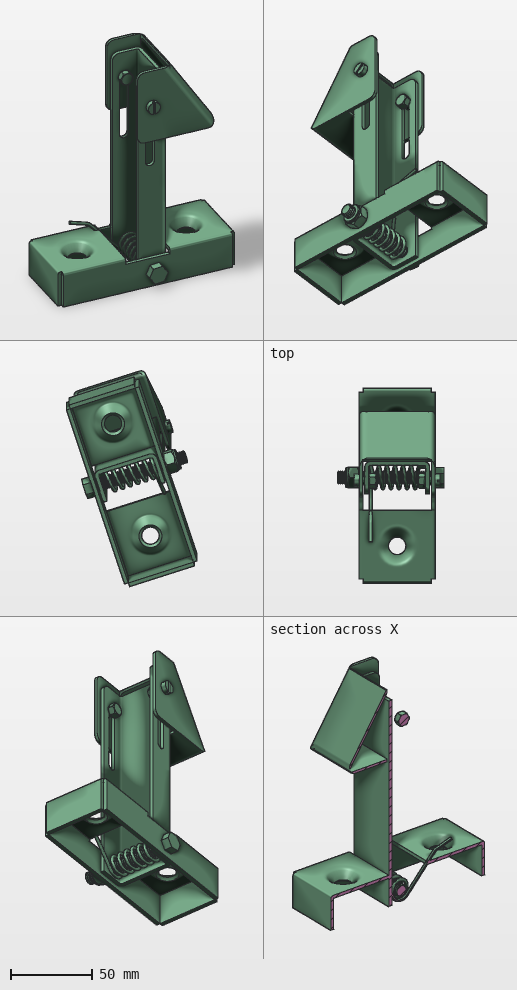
import cadquery as cq
import math

sheet = 2.5

base_width = 47.0
base_length = 120.0
base_height = 24.0
base_bend_radius = 2.0
window_half_length = 15.0
notch_floor = 20.0
mount_offset = 37.0
mount_hole_radius = 5.3
mount_cone_radius = 9.7
mount_rim_radius = 13.5

post_width = 40.0
post_depth = 20.0
post_back = window_half_length
post_bottom = 2.0
post_top = 145.0
post_inner_bend = 1.2
slot_width = 6.0
slot_bottom = 84.0

hood_sheet = 2.0
hood_width = 46.5
hood_bottom = 103.0
hood_height = 50.0
hood_front = -7.0
hood_top_back = 17.0
hood_bottom_back = 50.0
hood_bend_radius = 5.5
hood_fold_radius = 1.5
hood_lip_y = 16.0
plate_corner_radius = 5.0

screw_y = 3.0
screw_diameter = 5.0
screw_head_diameter = 8.2
screw_head_height = 3.2
driver_slot_width = 1.2
driver_slot_depth = 1.5
screw_nut_flats = 8.0
screw_nut_height = 4.7
nut_end_relief = 0.2

pivot_y = 5.0
pivot_z = 10.0
bolt_diameter = 8.0
thread_root_diameter = 6.5
thread_pitch = 1.25
bolt_end_projection = 13.2
bolt_head_flats = 11.0
bolt_head_height = 5.3
bolt_head_turn = 6.0
lock_nut_flats = 13.0
lock_nut_height = 6.8
lock_collar_diameter = 12.5
lock_collar_height = 1.5

wire_diameter = 2.0
coil_radius = 6.55
coil_left = -16.3
coil_right = 13.5
coil_pitch = 4.95
front_leg_angle = 47.5
front_leg_length = 31.0
front_tip_angle = 17.0
front_tip_length = 12.0
front_bend_radius = 5.0
rear_leg_top = 40.0
rear_leg_top_x = 16.8

base_half = base_width / 2
hood_top = hood_bottom + hood_height
screw_z = hood_bottom + hood_height / 2


def side_plane(x, y=0.0, z=0.0):
    """Plane facing +X whose local axes are Y and Z."""
    return cq.Workplane("YZ", origin=(x, y, z))


def extrude_across(points, width):
    """Prism of a Y-Z outline, centred on X = 0."""
    return side_plane(0).polyline(points).close().extrude(width / 2, both=True)


def block(x0, x1, y0, y1, z0, z1):
    return cq.Workplane("XY").box(x1 - x0, y1 - y0, z1 - z0, centered=False).translate((x0, y0, z0))


def hexagon(flats, height, turn=0.0):
    """Hexagonal prism along +X; with no turn its corners point along Y."""
    corner_diameter = flats / math.cos(math.radians(30))
    return side_plane(0).polygon(6, corner_diameter).extrude(height).rotate((0, 0, 0), (1, 0, 0), turn)


def chamfered_hexagon(flats, height, turn=0.0):
    """Hexagonal nut blank whose corners are turned down at both ends."""
    corner_radius = flats / 2 / math.cos(math.radians(30))
    chamfer = corner_radius - flats / 2 + nut_end_relief
    envelope = side_plane(0).circle(corner_radius).extrude(height).faces("<X or >X").chamfer(chamfer)
    return hexagon(flats, height, turn).intersect(envelope)


def make_mount_cup():
    """Dished 90-degree countersink pressed from the sheet, axis at X = Y = 0."""
    bend = (mount_rim_radius - mount_cone_radius) / math.sin(math.radians(45))
    diagonal = math.sin(math.radians(45))
    steep = math.sin(math.radians(22.5))
    shallow = math.cos(math.radians(22.5))
    centre_z = base_height - bend

    def on_bend(radius, sine, cosine):
        return (mount_rim_radius - radius * sine, centre_z + radius * cosine)

    inner = bend - sheet
    cone_start = on_bend(bend, diagonal, diagonal)
    cone_drop = mount_cone_radius - mount_hole_radius
    cone_end = (mount_hole_radius, cone_start[1] - cone_drop)
    under_end = (cone_end[0] + sheet * diagonal, cone_end[1] - sheet * diagonal)
    profile = (
        cq.Workplane("XZ")
        .moveTo(mount_rim_radius, base_height)
        .threePointArc(on_bend(bend, steep, shallow), cone_start)
        .lineTo(*cone_end)
        .lineTo(*under_end)
        .lineTo(*on_bend(inner, diagonal, diagonal))
        .threePointArc(on_bend(inner, steep, shallow), on_bend(inner, 0, 1))
        .close()
    )
    return profile.revolve(360, (0, 0), (0, 1))


def make_base():
    base = cq.Workplane("XY").box(base_width, base_length, base_height, centered=(True, True, False))
    base = base.faces(">Z").edges().fillet(base_bend_radius)
    inner_half = base_half - sheet
    end_inner = base_length / 2 - sheet
    base = base.cut(block(-inner_half, inner_half, -end_inner, end_inner, 0, base_height - sheet))
    for side_x in (-1, 1):
        for side_y in (-1, 1):
            corner = cq.Workplane("XY").rect(2 * sheet, 2 * sheet).extrude(base_height)
            base = base.cut(corner.translate((side_x * base_half, side_y * base_length / 2, 0)))
    window = block(-base_half, base_half, -window_half_length, window_half_length, notch_floor, base_height)
    base = base.cut(window)
    cup = make_mount_cup()
    opening = cq.Workplane("XY").circle(mount_rim_radius).extrude(base_height)
    for y in (-mount_offset, mount_offset):
        base = base.cut(opening.translate((0, y, 0))).union(cup.translate((0, y, 0)))
    return base


def make_post():
    half = post_width / 2
    front = post_back - post_depth
    post = block(-half, half, front, post_back, post_bottom, post_top)
    post = post.edges("|Z and >Y").fillet(post_inner_bend + sheet)
    channel = block(sheet - half, half - sheet, front, post_back - sheet, post_bottom, post_top)
    post = post.cut(channel.edges("|Z and >Y").fillet(post_inner_bend))
    post = post.edges("|X and <Y and >Z").fillet(plate_corner_radius)
    slot_top = screw_z + slot_width / 2
    slot_length = slot_top - slot_bottom
    slot = (
        side_plane(0, screw_y, slot_bottom + slot_length / 2)
        .slot2D(slot_length, slot_width, 90)
        .extrude(half, both=True)
    )
    return post.cut(slot)


def make_hood():
    slope = math.atan2(hood_bottom_back - hood_top_back, hood_height)
    out_y, out_z = math.cos(slope), math.sin(slope)
    down_y, down_z = math.sin(slope), -math.cos(slope)
    outline = [
        (hood_front, hood_bottom),
        (hood_front, hood_top),
        (hood_top_back, hood_top),
        (hood_bottom_back, hood_bottom),
    ]
    plates = extrude_across(outline, hood_width)
    side_shape = plates.edges("|X").edges("<Y or <Z").fillet(plate_corner_radius)
    bend_edges = cq.selectors.ParallelDirSelector(cq.Vector(0, down_y, down_z))
    hood = plates.edges(bend_edges).fillet(hood_bend_radius).intersect(side_shape)

    overrun = hood_height
    inner_width = hood_width - 2 * hood_sheet
    inner_top = (
        hood_top_back - hood_sheet * out_y - overrun * down_y,
        hood_top - hood_sheet * out_z - overrun * down_z,
    )
    inner_bottom = (
        hood_bottom_back - hood_sheet * out_y + overrun * down_y,
        hood_bottom - hood_sheet * out_z + overrun * down_z,
    )
    open_front = hood_front - overrun
    cavity_outline = [inner_top, inner_bottom, (open_front, inner_bottom[1]), (open_front, inner_top[1])]
    cavity = extrude_across(cavity_outline, inner_width)
    cavity = cavity.edges(bend_edges).fillet(hood_bend_radius - hood_sheet)

    flange_top = hood_bottom + hood_sheet
    fold_y = hood_bottom_back - hood_sheet / out_y - hood_sheet * math.tan(slope)
    above_flange_outline = [
        inner_top,
        (fold_y, flange_top),
        (open_front, flange_top),
        (open_front, inner_top[1]),
    ]
    above_flange = extrude_across(above_flange_outline, inner_width)
    above_flange = above_flange.edges("|X and >Y").fillet(hood_fold_radius)
    hood = hood.cut(cavity.intersect(above_flange))

    lip_half = inner_width / 2
    return hood.cut(block(-lip_half, lip_half, hood_front, hood_lip_y, hood_bottom, hood_top))


def make_hood_screw(slot_angle):
    """Slotted screw and nut for the left side."""
    head_x = -hood_width / 2 - screw_head_height
    nut_x = sheet - post_width / 2
    grip_end = nut_x + screw_nut_height
    head = side_plane(head_x).circle(screw_head_diameter / 2).extrude(screw_head_height)
    slot_outline = side_plane(head_x).rect(2 * screw_head_diameter, driver_slot_width)
    driver_slot = slot_outline.extrude(driver_slot_depth)
    head = head.cut(driver_slot.rotate((0, 0, 0), (1, 0, 0), slot_angle))
    shank_start = head_x + screw_head_height
    shank = side_plane(shank_start).circle(screw_diameter / 2).extrude(grip_end - shank_start)
    nut = chamfered_hexagon(screw_nut_flats, screw_nut_height).translate((nut_x, 0, 0))
    return head.union(shank).union(nut).translate((0, screw_y, screw_z))


def make_pivot_bolt():
    """Bolt with ring-shaped thread ridges, hexagon head and lock nut."""
    crest = bolt_diameter / 2
    root = thread_root_diameter / 2
    start = -base_half - bolt_end_projection
    thread_count = math.floor((base_half - sheet - start) / thread_pitch)
    points = [(start, 0), (start, root)]
    for i in range(thread_count):
        points.append((start + (i + 0.5) * thread_pitch, crest))
        points.append((start + (i + 1) * thread_pitch, root))
    thread_end = start + thread_count * thread_pitch
    points += [(thread_end, crest), (base_half, crest), (base_half, 0)]
    bolt = cq.Workplane("XY").polyline(points).close().revolve(360, (0, 0), (1, 0))
    head = hexagon(bolt_head_flats, bolt_head_height, bolt_head_turn).translate((base_half, 0, 0))
    nut_left = -base_half - lock_nut_height
    nut = chamfered_hexagon(lock_nut_flats, lock_nut_height, 90).translate((nut_left, 0, 0))
    collar = side_plane(nut_left).circle(lock_collar_diameter / 2).extrude(-lock_collar_height)
    collar = collar.faces("<X").chamfer(lock_collar_height / 3)
    return bolt.union(head).union(nut).union(collar).translate((0, pivot_y, pivot_z))


def make_spring():
    """Coil around the pivot with a bent front leg and a straight rear leg."""
    wire_radius = wire_diameter / 2
    rise = math.radians(front_leg_angle)
    coil_length = coil_right - coil_left
    helix_start_angle = 360 - 360 * (coil_length / coil_pitch % 1)
    helix = cq.Wire.makeHelix(coil_pitch, coil_length, coil_radius)
    section = cq.Workplane("XZ", origin=(coil_radius, 0, 0)).circle(wire_radius)
    coil = section.sweep(cq.Workplane(obj=helix), isFrenet=True)
    coil = coil.rotate((0, 0, 0), (1, 1, 1), 120).rotate((0, 0, 0), (1, 0, 0), helix_start_angle)
    coil = coil.translate((coil_left, pivot_y, pivot_z))

    flat_start_angle = 270 - front_leg_angle
    flat_turn = (
        cq.Workplane("XY")
        .center(0, coil_radius)
        .circle(wire_radius)
        .revolve(helix_start_angle - flat_start_angle, (0, -coil_radius), (1, -coil_radius))
        .rotate((0, 0, 0), (1, 0, 0), flat_start_angle)
        .translate((coil_left, pivot_y, pivot_z))
    )
    helix_start = cq.Vector(
        coil_left,
        pivot_y + coil_radius * math.cos(math.radians(helix_start_angle)),
        pivot_z + coil_radius * math.sin(math.radians(helix_start_angle)),
    )

    start_y = pivot_y - coil_radius * math.sin(rise)
    start_z = pivot_z - coil_radius * math.cos(rise)
    bend_y = start_y - front_leg_length * math.cos(rise)
    bend_z = start_z + front_leg_length * math.sin(rise)
    tip = math.radians(front_tip_angle)
    centre_y = bend_y - front_bend_radius * math.sin(rise)
    centre_z = bend_z - front_bend_radius * math.cos(rise)

    def on_bend(angle):
        return (
            centre_y + front_bend_radius * math.sin(angle),
            centre_z + front_bend_radius * math.cos(angle),
        )

    bend_end = on_bend(tip)
    tip_end = (bend_end[0] - front_tip_length * math.cos(tip), bend_end[1] + front_tip_length * math.sin(tip))
    front_path = (
        side_plane(coil_left)
        .moveTo(start_y, start_z)
        .lineTo(bend_y, bend_z)
        .threePointArc(on_bend((rise + tip) / 2), bend_end)
        .lineTo(*tip_end)
    )
    leg_start = cq.Vector(coil_left, start_y, start_z)
    leg_direction = cq.Vector(0, -math.cos(rise), math.sin(rise))
    front_plane = cq.Plane(leg_start, xDir=(1, 0, 0), normal=leg_direction)
    front_leg = cq.Workplane(front_plane).circle(wire_radius).sweep(front_path)

    rear_start = cq.Vector(coil_right, pivot_y + coil_radius, pivot_z)
    rear_run = cq.Vector(rear_leg_top_x, pivot_y + coil_radius, rear_leg_top) - rear_start
    rear_leg = cq.Workplane(obj=cq.Solid.makeCylinder(wire_radius, rear_run.Length, rear_start, rear_run))

    spring = coil.union(flat_turn).union(front_leg).union(rear_leg)
    for joint in (helix_start, leg_start, rear_start):
        spring = spring.union(cq.Workplane("XY").sphere(wire_radius).translate(joint))
    return spring


left_screw = make_hood_screw(slot_angle=135)
right_screw = make_hood_screw(slot_angle=90).mirror("YZ")

result = make_base()
for component in (make_post(), make_hood(), left_screw, right_screw, make_pivot_bolt(), make_spring()):
    result = result.union(component)